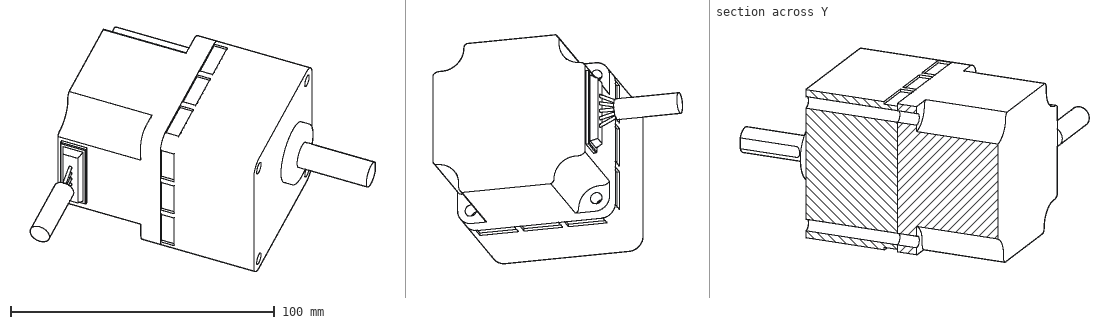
import cadquery as cq
import math


frame_size = 60.0
frame_half = frame_size / 2
frame_sides = 4
side_angle = 360 / frame_sides
corner_radius = 5.6
bolt_spacing = 49.5
bolt_hole_diameter = 4.5

notch_end = 33.8
joint_x = 41.9
gearbox_end = 80.0
boss_end = 83.8
shaft_end = 112.0

notch_radius = 8.4
notch_center_across = 1.8
notch_center_down = 3.8
notch_tail_radius = 1.9
notch_lead_radius = 2.9
notch_lead_depth = 2.5

shaft_offset = 10.0
recess_count = 3
recess_length = 15.1
recess_pitch = 17.5
recess_width = 5.5
recess_depth = 1.0
boss_diameter = 24.0
boss_edge_radius = 0.5
shaft_diameter = 10.0
flat_depth = 0.5
flat_start = 88.7
flat_cutter_radius = 3.0

outlet_x = 6.7
plate_width = 10.4
plate_height = 29.8
plate_thickness = 1.3
plate_edge_chamfer = 0.3
plug_width = 8.3
plug_height = 26.7
plug_end = 4.0
plug_inset = 1.1
wire_diameter = 1.2
wire_count = 5
wire_pitch_at_plug = 3.0
wire_pitch_at_cable = 1.5
cable_diameter = 8.0
cable_start = 10.5
cable_end = 35.5


def frame_block(x_start, x_end):
    """Square block with rounded long edges between two X stations."""
    return (
        cq.Workplane("YZ", origin=(x_start, 0, 0))
        .rect(frame_size, frame_size)
        .extrude(x_end - x_start)
        .edges("|X")
        .fillet(corner_radius)
    )


def drill_bolt_holes(body):
    """Cut the four bolt holes right through a body."""
    holes = (
        cq.Workplane("YZ")
        .rect(bolt_spacing, bolt_spacing, forConstruction=True)
        .vertices()
        .circle(bolt_hole_diameter / 2)
        .extrude(gearbox_end)
    )
    return body.cut(holes)


def corner_notch():
    """Cutter for the (-Y, +Z) corner: a round hollow that blends into both frame faces."""
    diagonal = math.sqrt(0.5)

    def from_corner(across, down):
        return (across - frame_half, frame_half - down)

    wall = notch_center_across + notch_radius
    lead_center = wall + notch_lead_radius
    lead_angle = math.asin(notch_lead_depth / notch_lead_radius)
    lead_start = lead_center - notch_lead_radius * math.cos(lead_angle)
    lead_middle = from_corner(
        lead_center - notch_lead_radius * math.cos(lead_angle / 2),
        notch_lead_depth - notch_lead_radius * math.sin(lead_angle / 2),
    )

    floor = notch_center_down + notch_radius
    hollow_middle = from_corner(
        notch_center_across + notch_radius * diagonal,
        notch_center_down + notch_radius * diagonal,
    )

    tail_center = floor + notch_tail_radius
    tail_angle = math.asin(notch_center_across / notch_tail_radius)
    tail_end = tail_center - notch_tail_radius * math.cos(tail_angle)
    tail_middle = from_corner(
        notch_center_across - notch_tail_radius * math.sin(tail_angle / 2),
        tail_center - notch_tail_radius * math.cos(tail_angle / 2),
    )

    return (
        cq.Workplane("YZ")
        .moveTo(*from_corner(0, 0))
        .lineTo(*from_corner(lead_start, 0))
        .threePointArc(lead_middle, from_corner(wall, notch_lead_depth))
        .lineTo(*from_corner(wall, notch_center_down))
        .threePointArc(hollow_middle, from_corner(notch_center_across, floor))
        .threePointArc(tail_middle, from_corner(0, tail_end))
        .close()
        .extrude(notch_end)
    )


def cable_outlet():
    """Plate, tapered plug, fan of wires and sheathed cable, all reaching out along -Y."""

    def outward_plane(distance):
        return cq.Workplane("XZ", origin=(outlet_x, -frame_half - distance, 0))

    plate = (
        outward_plane(0)
        .rect(plate_width, plate_height)
        .extrude(plate_thickness)
        .faces("<Y")
        .chamfer(plate_edge_chamfer)
    )

    plug_length = plug_end - plate_thickness
    plug_taper = math.degrees(math.atan(plug_inset / plug_length))
    plug = outward_plane(plate_thickness).rect(plug_width, plug_height).extrude(plug_length, taper=plug_taper)

    cable = outward_plane(cable_start).circle(cable_diameter / 2).extrude(cable_end - cable_start)

    outlet = plate.union(plug).union(cable)
    for index in range(wire_count):
        step = index - (wire_count - 1) / 2
        outlet = outlet.union(wire(step * wire_pitch_at_plug, step * wire_pitch_at_cable))
    return outlet


def wire(z_at_plug, z_at_cable):
    """Straight wire from plug to cable, with both ends buried by one wire diameter."""
    start = cq.Vector(outlet_x, -frame_half - plug_end, z_at_plug)
    end = cq.Vector(outlet_x, -frame_half - cable_start, z_at_cable)
    direction = (end - start).normalized()
    buried = direction * wire_diameter
    length = (end - start).Length + 2 * wire_diameter
    return cq.Workplane(cq.Solid.makeCylinder(wire_diameter / 2, length, start - buried, direction))


def build_motor():
    motor = frame_block(0, joint_x)
    notch = corner_notch()
    for side in range(frame_sides):
        motor = motor.cut(notch.rotate((0, 0, 0), (1, 0, 0), side_angle * side))
    return drill_bolt_holes(motor).union(cable_outlet())


def side_recesses():
    """Row of three shallow recesses in the +Z face, next to the motor joint."""
    return (
        cq.Workplane("XY", origin=(joint_x + recess_width / 2, 0, frame_half - recess_depth))
        .rarray(1.1, recess_pitch, 1, recess_count)
        .rect(recess_width, recess_length)
        .extrude(recess_depth)
    )


def output_shaft():
    """Shaft with a flat on its +Y side that runs out in the curve of the cutter."""
    shaft = (
        cq.Workplane("YZ", origin=(gearbox_end, shaft_offset, 0))
        .circle(shaft_diameter / 2)
        .extrude(shaft_end - gearbox_end)
    )
    flat_y = shaft_offset + shaft_diameter / 2 - flat_depth
    cutter_y = flat_y + flat_cutter_radius
    cutter = (
        cq.Workplane("XY", origin=(0, 0, -shaft_diameter / 2))
        .moveTo(flat_start, flat_y)
        .lineTo(shaft_end, flat_y)
        .lineTo(shaft_end, cutter_y)
        .lineTo(flat_start - flat_cutter_radius, cutter_y)
        .radiusArc((flat_start, flat_y), -flat_cutter_radius)
        .close()
        .extrude(shaft_diameter)
    )
    return shaft.cut(cutter)


def shaft_boss():
    """Round boss that the shaft comes out of, with a softened outer edge."""
    return (
        cq.Workplane("YZ", origin=(gearbox_end, shaft_offset, 0))
        .circle(boss_diameter / 2)
        .extrude(boss_end - gearbox_end)
        .faces(">X")
        .edges()
        .fillet(boss_edge_radius)
    )


def build_gearbox():
    gearbox = frame_block(joint_x, gearbox_end)
    recesses = side_recesses()
    for side in range(frame_sides):
        gearbox = gearbox.cut(recesses.rotate((0, 0, 0), (1, 0, 0), side_angle * side))
    return drill_bolt_holes(gearbox).union(shaft_boss()).union(output_shaft())


motor = build_motor()
gearbox = build_gearbox()

result = cq.Compound.makeCompound([motor.solids().val(), gearbox.solids().val()])